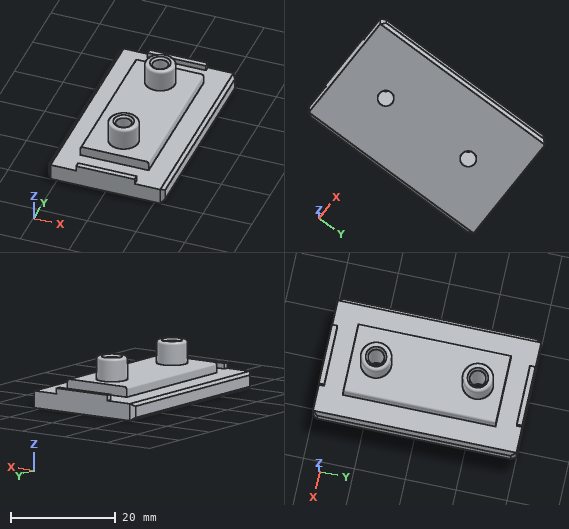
import cadquery as cq

base_length = 40.0
base_width = 23.9
base_height = 3.35
side_bevel_width = 0.7
side_bevel_height = 0.55
corner_bevel_length = 0.95

pad_length = 30.0
pad_width = 14.0
pad_top = 5.35
pad_edge_radius = 0.5

tab_width = 12.0
tab_depth = 1.1
tab_top = 4.45

post_spacing = 20.0
post_diameter = 6.0
post_top = 9.85
post_edge_radius = 0.5
bore_diameter = 3.1
bore_chamfer = 0.45


def make_base():
    """Plate with bevelled long sides and bevelled vertical corners."""
    half_width = base_width / 2
    half_length = base_length / 2
    face_half_width = half_width - side_bevel_width
    side_profile = [
        (face_half_width, 0),
        (half_width, side_bevel_height),
        (half_width, base_height - side_bevel_height),
        (face_half_width, base_height),
    ]
    mirrored_profile = [(-x, z) for x, z in reversed(side_profile)]
    plate = (
        cq.Workplane("XZ")
        .polyline(side_profile + mirrored_profile)
        .close()
        .extrude(half_length, both=True)
    )
    corner_outline = [
        (face_half_width, half_length),
        (half_width, half_length - corner_bevel_length),
        (half_width, corner_bevel_length - half_length),
        (face_half_width, -half_length),
    ]
    mirrored_outline = [(-x, y) for x, y in reversed(corner_outline)]
    envelope = (
        cq.Workplane("XY")
        .polyline(corner_outline + mirrored_outline)
        .close()
        .extrude(base_height)
    )
    return plate.intersect(envelope)


def make_pad():
    """Pad standing on the underside plane, so it merges with the base."""
    return (
        cq.Workplane("XY")
        .box(pad_width, pad_length, pad_top, centered=(True, True, False))
        .edges("|Y and >Z")
        .fillet(pad_edge_radius)
    )


def make_tab(end):
    """Tab flush with one end of the base; end is -1 or 1 along Y."""
    tab_y = end * (base_length - tab_depth) / 2
    return (
        cq.Workplane("XY")
        .center(0, tab_y)
        .box(tab_width, tab_depth, tab_top, centered=(True, True, False))
    )


def make_post(y):
    """Round post with a rounded outer rim at its top."""
    return (
        cq.Workplane("XY")
        .center(0, y)
        .circle(post_diameter / 2)
        .extrude(post_top)
        .faces(">Z")
        .edges()
        .fillet(post_edge_radius)
    )


def make_bore(y):
    """Through bore with a 45 degree chamfer at its mouth."""
    bore_radius = bore_diameter / 2
    return (
        cq.Workplane("XZ", origin=(0, y, 0))
        .lineTo(bore_radius, 0)
        .lineTo(bore_radius, post_top - bore_chamfer)
        .lineTo(bore_radius + bore_chamfer, post_top)
        .lineTo(0, post_top)
        .close()
        .revolve(360, (0, 0, 0), (0, 1, 0))
    )


result = make_base().union(make_pad())
for end in (-1, 1):
    result = result.union(make_tab(end))
    result = result.union(make_post(end * post_spacing / 2))
for end in (-1, 1):
    result = result.cut(make_bore(end * post_spacing / 2))